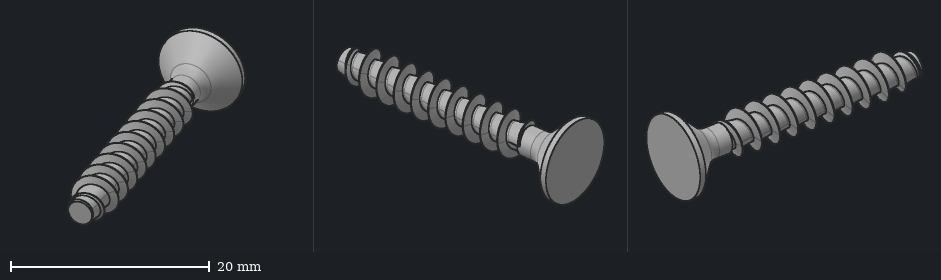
import cadquery as cq
import math

LENGTH = 30.0
HEAD_RADIUS = 4.65
HEAD_RIM = 0.72
SHANK_RADIUS = 1.68
SHANK_END = 6.15
NECK_RADIUS = 1.92
CORE_RADIUS = 1.38

CREST_RADIUS = 2.5
PITCH = 2.25
THREAD_START = 5.82
THREAD_END = 29.65
RUN_IN = 2.25
RUN_OUT = 3.0
RUN_IN_RADIUS = 1.65
RUN_OUT_RADIUS = 1.47
CREST_HALF_WIDTH = 0.045
ROOT_HALF_WIDTH = 0.27
RAMP_RADIUS = 1.62
ROOT_OVERLAP = 0.03
MIN_CREST_STEP = 0.12
ROOT_GAP = 0.03
PIECES = 21
STEPS_PER_PIECE = 8
TIP_FACE_RADIUS = 1.32
TIP_BEVEL = 0.15
TIP_TRIM = 3.0

HEAD_FACE_Y = LENGTH / 2
TURNING_PLANE = cq.Plane(origin=(0, 0, 0), xDir=(0, 0, 1), normal=(-1, 0, 0))


def make_body():
    """Head, neck, shank and plain core as one turned solid."""
    sin45 = math.sin(math.pi / 4)
    neck_top_radius = SHANK_RADIUS + NECK_RADIUS * (1 - sin45)
    cone_end = HEAD_RIM + HEAD_RADIUS - neck_top_radius
    neck_end = cone_end + NECK_RADIUS * sin45
    mid_angle = math.pi / 8
    neck_mid_radius = SHANK_RADIUS + NECK_RADIUS * (1 - math.cos(mid_angle))
    neck_mid = neck_end - NECK_RADIUS * math.sin(mid_angle)
    return (
        cq.Workplane(TURNING_PLANE)
        .moveTo(0, HEAD_FACE_Y)
        .lineTo(HEAD_RADIUS, HEAD_FACE_Y)
        .lineTo(HEAD_RADIUS, HEAD_FACE_Y - HEAD_RIM)
        .lineTo(neck_top_radius, HEAD_FACE_Y - cone_end)
        .threePointArc((neck_mid_radius, HEAD_FACE_Y - neck_mid), (SHANK_RADIUS, HEAD_FACE_Y - neck_end))
        .lineTo(SHANK_RADIUS, HEAD_FACE_Y - SHANK_END)
        .lineTo(CORE_RADIUS, HEAD_FACE_Y - SHANK_END)
        .lineTo(CORE_RADIUS, HEAD_FACE_Y - LENGTH - TIP_TRIM)
        .lineTo(0, HEAD_FACE_Y - LENGTH - TIP_TRIM)
        .close()
        .revolve(360, (0, 0, 0), (0, 1, 0))
    )


def crest_radius(depth):
    """Crest radius at a depth, reduced along the run-in and the run-out."""
    rise = min(1, (depth - THREAD_START) / RUN_IN)
    rising = RUN_IN_RADIUS + (CREST_RADIUS - RUN_IN_RADIUS) * math.sin(rise * math.pi / 2)
    fall = min(1, (THREAD_END - depth) / RUN_OUT)
    falling = RUN_OUT_RADIUS + (CREST_RADIUS - RUN_OUT_RADIUS) * fall
    return min(rising, falling)


def ramp_radius(depth):
    """Largest radius of the ramp, lowered where the crest itself is low."""
    return min(RAMP_RADIUS, crest_radius(depth) - MIN_CREST_STEP)


def helix_edge(first, last, offset, radius_at):
    """Right-handed helix between two crest depths, shifted tipward by offset."""
    points = []
    for step in range(STEPS_PER_PIECE + 1):
        depth = first + (last - first) * step / STEPS_PER_PIECE
        angle = 2 * math.pi * (depth - THREAD_START) / PITCH
        radius = radius_at(depth)
        points.append(
            cq.Vector(radius * math.cos(angle), HEAD_FACE_Y - depth - offset, radius * math.sin(angle))
        )
    return cq.Edge.makeSpline(points)


def thread_edges(first, last):
    """Helical corner edges of the thread and of the tapering ramp behind it."""
    buried_radius = CORE_RADIUS - ROOT_OVERLAP
    ramp_end = PITCH - ROOT_HALF_WIDTH - ROOT_GAP
    return [
        helix_edge(first, last, -ROOT_HALF_WIDTH, lambda depth: buried_radius),
        helix_edge(first, last, -CREST_HALF_WIDTH, crest_radius),
        helix_edge(first, last, CREST_HALF_WIDTH, crest_radius),
        helix_edge(first, last, ROOT_HALF_WIDTH, ramp_radius),
        helix_edge(first, last, ramp_end, lambda depth: buried_radius),
    ]


def end_face(section):
    """Flat face closing one end of the thread."""
    return cq.Face.makeFromWires(cq.Wire.makePolygon(section, close=True))


def make_thread():
    """Thread solid bounded by ruled helical faces, laid in short pieces, and two flat end faces."""
    piece_length = (THREAD_END - THREAD_START) / PIECES
    pieces = []
    for index in range(PIECES):
        first = THREAD_START + index * piece_length
        pieces.append(thread_edges(first, first + piece_length))
    faces = [
        end_face([edge.startPoint() for edge in pieces[0]]),
        end_face([edge.endPoint() for edge in pieces[-1]]),
    ]
    for edges in pieces:
        for index, edge in enumerate(edges):
            faces.append(cq.Face.makeRuledSurface(edges[index - 1], edge))
    return cq.Workplane(cq.Solid.makeSolid(cq.Shell.makeShell(faces)))


def make_tip_cutter():
    """Ring and disc beyond the tip that trim the core and the thread overrun to a bevelled flat end."""
    tip_y = HEAD_FACE_Y - LENGTH
    outer_radius = 2 * CREST_RADIUS
    cutter_end = tip_y - 2 * TIP_TRIM
    return (
        cq.Workplane(TURNING_PLANE)
        .moveTo(0, tip_y)
        .lineTo(TIP_FACE_RADIUS, tip_y)
        .lineTo(TIP_FACE_RADIUS + TIP_BEVEL, tip_y + TIP_BEVEL)
        .lineTo(outer_radius, tip_y)
        .lineTo(outer_radius, cutter_end)
        .lineTo(0, cutter_end)
        .close()
        .revolve(360, (0, 0, 0), (0, 1, 0))
    )


screw = make_body().union(make_thread(), clean=False)
result = screw.cut(make_tip_cutter(), clean=False)